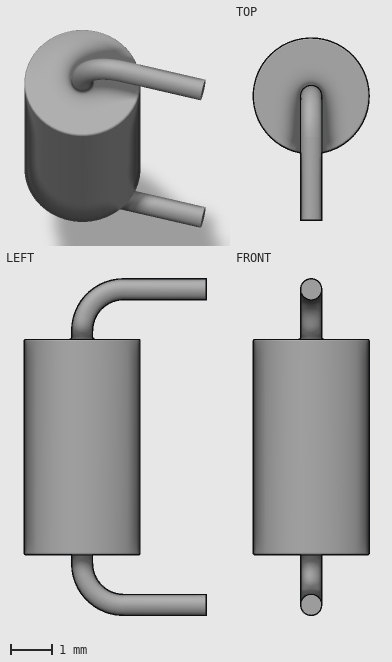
import cadquery as cq
import math

total_height = 8.12
body_diameter = 2.8
body_height = 5.2
body_edge_fillet = 0.05

wire_diameter = 0.51
bend_radius = 1.0
lead_reach = 3.0
wire_radius = wire_diameter / 2
body_end = body_height / 2
lead_height = total_height / 2 - wire_radius
bend_start = lead_height - bend_radius

root_fillet = 0.05


def make_body():
    """Cylinder with softly rounded end edges."""
    body = cq.Workplane("XY").circle(body_diameter / 2).extrude(body_height)
    return body.translate((0, 0, -body_end)).edges("%CIRCLE").fillet(body_edge_fillet)


def make_root_fillet():
    """Concave ring blending the upper lead into the end face."""
    fillet_radius = wire_radius + root_fillet
    diagonal = root_fillet * (1 - math.sqrt(0.5))
    return (
        cq.Workplane("XZ")
        .moveTo(0, body_end)
        .lineTo(fillet_radius, body_end)
        .threePointArc(
            (wire_radius + diagonal, body_end + diagonal),
            (wire_radius, body_end + root_fillet),
        )
        .lineTo(0, body_end + root_fillet)
        .close()
        .revolve(360, (0, 0, 0), (0, 1, 0))
    )


def make_upper_lead():
    """Wire from the body centre, up through the end face and round to -Y."""
    shaft = cq.Workplane("XY").circle(wire_radius).extrude(bend_start)
    bend = (
        cq.Workplane("XY", origin=(0, 0, bend_start))
        .circle(wire_radius)
        .revolve(90, (0, -bend_radius, 0), (1, -bend_radius, 0))
    )
    tail = (
        cq.Workplane("XZ", origin=(0, -bend_radius, lead_height))
        .circle(wire_radius)
        .extrude(lead_reach - bend_radius)
    )
    return shaft.union(bend).union(tail)


upper_lead = make_upper_lead()
lower_lead = upper_lead.mirror("XY")
result = make_body().union(upper_lead).union(lower_lead).union(make_root_fillet())